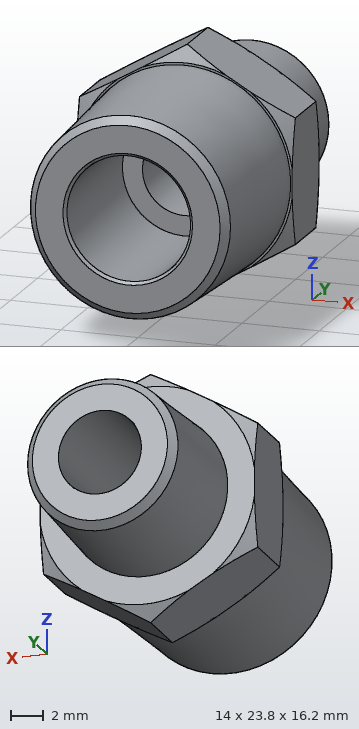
import cadquery as cq
import math

TOTAL_LENGTH = 23.83
LARGE_LENGTH = 10.5
HEX_LENGTH = 5.0
ACROSS_FLATS = 14.0
HEX_FACE_DIAMETER = 14.1
HEX_CHAMFER_ANGLE = 30.0
CONE_OVERHANG = 0.25

LARGE_COLLAR_DIAMETER = 13.8
LARGE_TIP_DIAMETER = 12.96
LARGE_COLLAR_LENGTH = 0.5
SMALL_COLLAR_DIAMETER = 10.5
SMALL_TIP_DIAMETER = 9.82
SMALL_COLLAR_LENGTH = 0.3
TIP_CHAMFER = 0.5

LARGE_BORE_DIAMETER = 8.0
SMALL_BORE_DIAMETER = 5.4
BORE_CHAMFER = 0.2

LARGE_END = -TOTAL_LENGTH / 2
SMALL_END = TOTAL_LENGTH / 2
HEX_START = LARGE_END + LARGE_LENGTH
HEX_END = HEX_START + HEX_LENGTH


def revolve_profile(points):
    """Turn a closed (radius, y) outline around the Y axis."""
    return cq.Workplane("XY").polyline(points).close().revolve(360, (0, 0), (0, 1))


def tapered_stub(base, tip, collar_diameter, tip_diameter, collar_length):
    """Short straight collar, then a taper that ends in a chamfered tip."""
    direction = math.copysign(1, tip - base)
    collar_radius = collar_diameter / 2
    tip_radius = tip_diameter / 2
    return revolve_profile([
        (0, base),
        (collar_radius, base),
        (collar_radius, base + direction * collar_length),
        (tip_radius, tip - direction * TIP_CHAMFER),
        (tip_radius - TIP_CHAMFER, tip),
        (0, tip),
    ])


def chamfered_hexagon():
    """Hexagon with corners on Z, its corners cut by a cone at both faces."""
    corner_diameter = ACROSS_FLATS / math.cos(math.pi / 6)
    hexagon = (
        cq.Workplane("XZ", origin=(0, HEX_END, 0))
        .transformed(rotate=(0, 0, 90))
        .polygon(6, corner_diameter)
        .extrude(HEX_LENGTH)
    )
    face_radius = HEX_FACE_DIAMETER / 2
    outer_radius = corner_diameter / 2 + CONE_OVERHANG
    drop = (outer_radius - face_radius) * math.tan(math.radians(HEX_CHAMFER_ANGLE))
    envelope = revolve_profile([
        (0, HEX_START),
        (face_radius, HEX_START),
        (outer_radius, HEX_START + drop),
        (outer_radius, HEX_END - drop),
        (face_radius, HEX_END),
        (0, HEX_END),
    ])
    return hexagon.intersect(envelope)


def stepped_bore():
    """Wide bore through the large stub and a narrow bore out of the small end."""
    wide_radius = LARGE_BORE_DIAMETER / 2
    narrow_radius = SMALL_BORE_DIAMETER / 2
    return revolve_profile([
        (0, LARGE_END),
        (wide_radius + BORE_CHAMFER, LARGE_END),
        (wide_radius, LARGE_END + BORE_CHAMFER),
        (wide_radius, HEX_START),
        (narrow_radius, HEX_START),
        (narrow_radius, SMALL_END),
        (0, SMALL_END),
    ])


large_stub = tapered_stub(
    HEX_START, LARGE_END, LARGE_COLLAR_DIAMETER, LARGE_TIP_DIAMETER, LARGE_COLLAR_LENGTH
)
small_stub = tapered_stub(
    HEX_END, SMALL_END, SMALL_COLLAR_DIAMETER, SMALL_TIP_DIAMETER, SMALL_COLLAR_LENGTH
)
result = chamfered_hexagon().union(large_stub).union(small_stub).cut(stepped_bore())